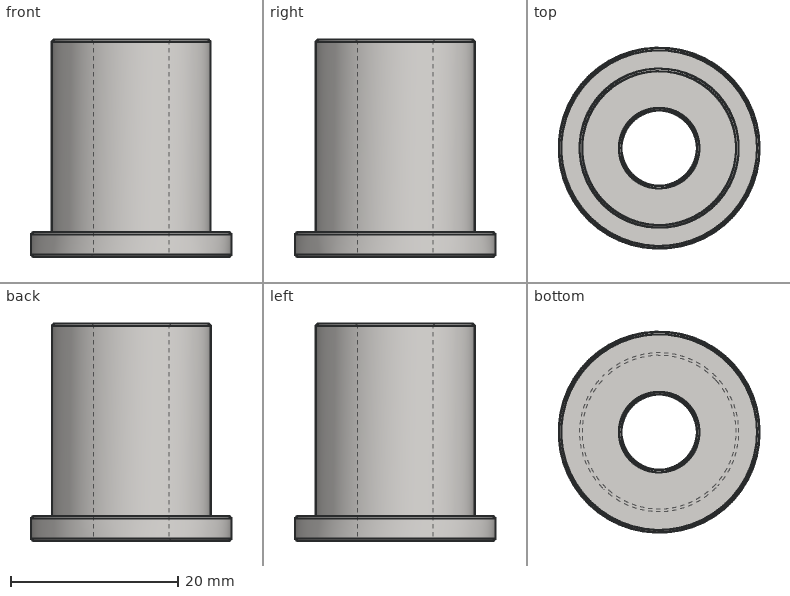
import cadquery as cq

total_height = 26.0
flange_diameter = 24.0
flange_height = 3.0
body_diameter = 19.0
bore_diameter = 9.0
edge_chamfer = 0.3

flange = (
    cq.Workplane("XY")
    .circle(flange_diameter / 2)
    .extrude(flange_height)
    .edges()
    .chamfer(edge_chamfer)
)

body = (
    cq.Workplane("XY")
    .circle(body_diameter / 2)
    .extrude(total_height)
    .faces(">Z")
    .edges()
    .chamfer(edge_chamfer)
)

bushing = flange.union(body).faces(">Z").workplane().hole(bore_diameter)
result = bushing.edges(cq.selectors.RadiusNthSelector(0)).chamfer(edge_chamfer)